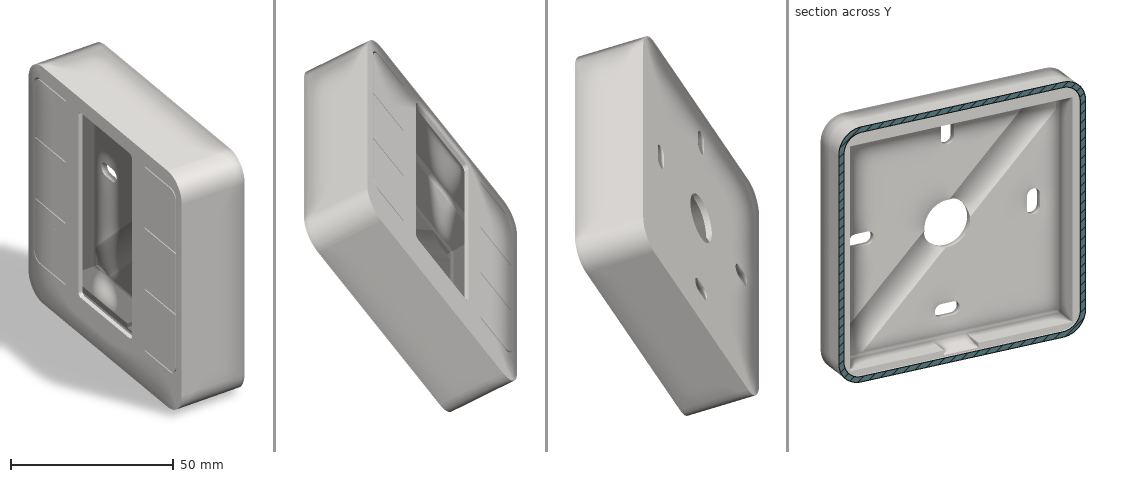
import cadquery as cq

SIDE = 86.5
DEPTH = 23.1
CORNER_RADIUS = 8.0
WALL = 2.0
INSIDE = SIDE - 2 * WALL
INSIDE_RADIUS = CORNER_RADIUS - WALL
FRONT_Y = -DEPTH / 2
BACK_Y = DEPTH / 2

PANEL = 1.5
PANEL_BACK_Y = FRONT_Y + PANEL
WINDOW_WIDTH = 30.3
WINDOW_TOP = 38.15
WINDOW_BOTTOM = -29.7
WINDOW_HEIGHT = WINDOW_TOP - WINDOW_BOTTOM
WINDOW_CENTRE_Z = (WINDOW_TOP + WINDOW_BOTTOM) / 2
WINDOW_RADIUS = 1.5

KEYS_PER_SIDE = 3
SLIT = 0.5
COMB_OUTER_X = 40.2
COMB_INNER_X = 22.3
COMB_RADIUS = 3.5
KEY_PITCH = (WINDOW_HEIGHT - SLIT) / KEYS_PER_SIDE

STRIP_HEIGHT = 0.8
STRIP_DEPTH = 0.3
STRIP_OUTER_X = 35.8
STRIP_LENGTH = STRIP_OUTER_X - WINDOW_WIDTH / 2
STRIP_PITCH = 22.7
LEFT_STRIP_TOP_Z = 32.6
RIGHT_STRIP_TOP_Z = 21.3

FLOOR = 2.0
FLOOR_Y = BACK_Y - FLOOR
RIM_Y = 0.5
FLOOR_FILLET = FLOOR / 2
POCKET_HALF_WIDTH = 38.9
POCKET_TOP = 35.5
POCKET_BOTTOM = -39.1
RAMP_RISE = 1.6
NOTCH_HALF_WIDTH = 6.0

CABLE_HOLE_DIAMETER = 16.0
CABLE_HOLE_Z = -1.0
SCREW_RADIUS = 30.1
SLOT_LENGTH = 8.65
SLOT_WIDTH = 4.5
CHANNEL_WIDTH = 10.5
CHANNEL_DEPTH = 1.65
CHANNEL_ANGLE = 45
UPRIGHT = 90
LEVEL = 0


def block(x0, x1, y0, y1, z0, z1):
    """Box between two opposite corners."""
    return cq.Workplane("XY").box(x1 - x0, y1 - y0, z1 - z0, centered=False).translate((x0, y0, z0))


def rounded_block(width, height, radius, y0, y1, centre_z=0.0):
    """Block centred on X, with its four corners rounded along Y."""
    body = block(-width / 2, width / 2, y0, y1, centre_z - height / 2, centre_z + height / 2)
    return body.edges("|Y").fillet(radius)


def comb_slit():
    """Slit through the panel on the +X side: a rounded spine with one tooth at each key boundary."""
    outer = rounded_block(
        2 * COMB_OUTER_X, WINDOW_HEIGHT, COMB_RADIUS, FRONT_Y, PANEL_BACK_Y, WINDOW_CENTRE_Z
    )
    inner = rounded_block(
        2 * (COMB_OUTER_X - SLIT), WINDOW_HEIGHT - 2 * SLIT, COMB_RADIUS - SLIT,
        FRONT_Y, PANEL_BACK_Y, WINDOW_CENTRE_Z,
    )
    side = block(COMB_INNER_X, SIDE / 2, FRONT_Y, PANEL_BACK_Y, WINDOW_BOTTOM, WINDOW_TOP)
    slit = outer.cut(inner).intersect(side)
    for boundary in range(1, KEYS_PER_SIDE):
        z = WINDOW_BOTTOM + boundary * KEY_PITCH
        slit = slit.union(block(COMB_INNER_X, COMB_OUTER_X - SLIT / 2, FRONT_Y, PANEL_BACK_Y, z, z + SLIT))
    return slit


def make_strips():
    """Thin strips flush with the panel face, each running from the window edge across one key."""
    strips = []
    for left, top_z in ((-STRIP_OUTER_X, LEFT_STRIP_TOP_Z), (WINDOW_WIDTH / 2, RIGHT_STRIP_TOP_Z)):
        for key in range(KEYS_PER_SIDE):
            z = top_z - key * STRIP_PITCH
            strips.append(
                block(
                    left, left + STRIP_LENGTH, FRONT_Y, FRONT_Y + STRIP_DEPTH,
                    z - STRIP_HEIGHT / 2, z + STRIP_HEIGHT / 2,
                )
            )
    return strips


def make_cover(strips):
    """Box open at the back; its front panel holds the window, the comb slits and the strip recesses."""
    cover = rounded_block(SIDE, SIDE, CORNER_RADIUS, FRONT_Y, BACK_Y)
    cover = cover.cut(rounded_block(INSIDE, INSIDE, INSIDE_RADIUS, PANEL_BACK_Y, BACK_Y))
    cover = cover.cut(
        rounded_block(WINDOW_WIDTH, WINDOW_HEIGHT, WINDOW_RADIUS, FRONT_Y, PANEL_BACK_Y, WINDOW_CENTRE_Z)
    )
    slit = comb_slit()
    cover = cover.cut(slit).cut(slit.mirror("YZ"))
    for strip in strips:
        cover = cover.cut(strip)
    return cover


def pocket():
    """Pocket inside the rim, with a rounded edge all along its floor."""
    cavity = block(-POCKET_HALF_WIDTH, POCKET_HALF_WIDTH, RIM_Y, FLOOR_Y, POCKET_BOTTOM, POCKET_TOP)
    return cavity.faces(">Y").edges().fillet(FLOOR_FILLET)


def ramp(half_width, wall_z, rise):
    """Wedge cut from a pocket wall: nothing at the floor fillet, deepest at the edge of the rim."""
    corners = [(FLOOR_Y - FLOOR_FILLET, wall_z), (RIM_Y, wall_z), (RIM_Y, wall_z + rise)]
    wedge = cq.Workplane("YZ").polyline(corners).close().extrude(2 * half_width)
    return wedge.translate((-half_width, 0, 0))


def floor_slot(x, z, angle):
    """Screw slot through the floor; the angle is UPRIGHT or LEVEL."""
    plane = cq.Workplane("XZ", origin=(x, BACK_Y, z))
    return plane.slot2D(SLOT_LENGTH, SLOT_WIDTH, angle).extrude(FLOOR)


def cable_channel():
    """Shallow round-bottomed channel running diagonally across the floor through the cable hole."""
    radius = (CHANNEL_WIDTH**2 / 4 + CHANNEL_DEPTH**2) / (2 * CHANNEL_DEPTH)
    axis_y = FLOOR_Y + CHANNEL_DEPTH - radius
    cylinder = cq.Workplane("XY").circle(radius).extrude(SIDE, both=True)
    cylinder = cylinder.rotate((0, 0, 0), (0, 1, 0), CHANNEL_ANGLE).translate((0, axis_y, CABLE_HOLE_Z))
    return cylinder.intersect(
        block(-POCKET_HALF_WIDTH, POCKET_HALF_WIDTH, FLOOR_Y, BACK_Y, POCKET_BOTTOM, POCKET_TOP)
    )


def make_base():
    """Floor and rim closing the back of the cover."""
    base = rounded_block(INSIDE, INSIDE, INSIDE_RADIUS, RIM_Y, BACK_Y)
    base = base.cut(pocket()).cut(cable_channel())
    base = base.cut(ramp(POCKET_HALF_WIDTH, POCKET_TOP, RAMP_RISE))
    base = base.cut(ramp(NOTCH_HALF_WIDTH, POCKET_BOTTOM, -RAMP_RISE))
    hole = cq.Workplane("XZ", origin=(0, BACK_Y, CABLE_HOLE_Z)).circle(CABLE_HOLE_DIAMETER / 2)
    base = base.cut(hole.extrude(FLOOR))
    for x, z, angle in (
        (0, SCREW_RADIUS, UPRIGHT),
        (SCREW_RADIUS, 0, UPRIGHT),
        (0, -SCREW_RADIUS, LEVEL),
        (-SCREW_RADIUS, 0, LEVEL),
    ):
        base = base.cut(floor_slot(x, z, angle))
    return base


strips = make_strips()
cover = make_cover(strips)
base = make_base()
result = cq.Compound.makeCompound([cover.val(), base.val(), *[strip.val() for strip in strips]])